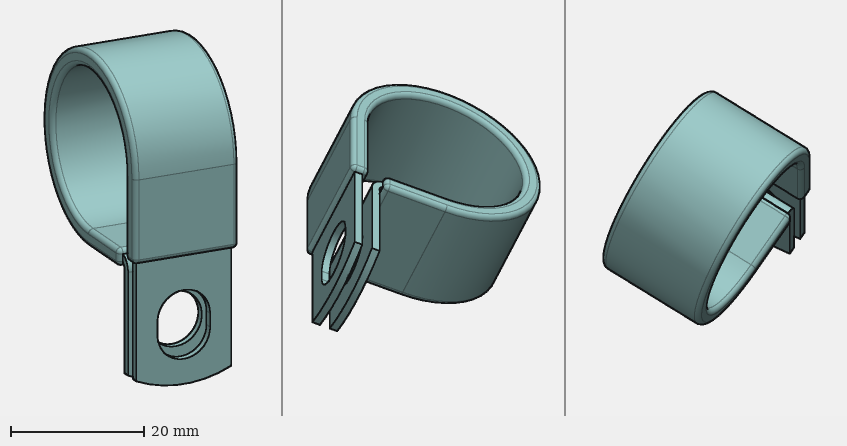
import cadquery as cq
import math

outer_radius = 15.5
cushion_wall = 0.8
strap_thickness = 1.25
strap_width = 15.85
total_height = 49.55

side_arm_end_z = -13.55
bottom_arm_end_x = 10.1
bottom_tab_outer_x = 11.9
bend_outer_radius = 2.4

hole_diameter = 8.75
side_slot_length = 10.95
hole_z = -24.55
tip_sagitta = 1.7

cushion_width = strap_width + 2 * cushion_wall
inner_radius = outer_radius - strap_thickness - 2 * cushion_wall
strap_outer_radius = outer_radius - cushion_wall
strap_inner_radius = strap_outer_radius - strap_thickness
tab_tip_z = outer_radius - total_height
bend_inner_radius = bend_outer_radius - strap_thickness
bottom_tab_inner_x = bottom_tab_outer_x - strap_thickness
bend_x = bottom_tab_outer_x - bend_outer_radius
bend_z = -strap_inner_radius - bend_outer_radius
diagonal = math.sqrt(0.5)


def extrude_across(profile, width):
    """Extrude an XZ profile along Y, centred on the loop."""
    return profile.extrude(width / 2, both=True)


def make_cushion():
    """Three-quarter loop with two straight arms and all outer edges rounded."""
    profile = (
        cq.Workplane("XZ")
        .moveTo(outer_radius, side_arm_end_z)
        .lineTo(outer_radius, 0)
        .threePointArc((-outer_radius * diagonal, outer_radius * diagonal), (0, -outer_radius))
        .lineTo(bottom_arm_end_x, -outer_radius)
        .lineTo(bottom_arm_end_x, -inner_radius)
        .lineTo(0, -inner_radius)
        .threePointArc((-inner_radius * diagonal, inner_radius * diagonal), (inner_radius, 0))
        .lineTo(inner_radius, side_arm_end_z)
        .close()
    )
    cushion = extrude_across(profile, cushion_width)
    end_edges = cushion.faces(cq.selectors.BoxSelector(
        (bottom_arm_end_x - cushion_wall, -cushion_width, -outer_radius - cushion_wall),
        (outer_radius + cushion_wall, cushion_width, side_arm_end_z + cushion_wall),
    )).edges()
    side_edges = cushion.faces("<Y or >Y").edges()
    return cushion.newObject(end_edges.vals() + side_edges.vals()).fillet(cushion_wall)


def make_side_tab():
    """Straight strap continuing down from the side arm."""
    profile = (
        cq.Workplane("XZ")
        .moveTo(strap_inner_radius, 0)
        .lineTo(strap_outer_radius, 0)
        .lineTo(strap_outer_radius, tab_tip_z)
        .lineTo(strap_inner_radius, tab_tip_z)
        .close()
    )
    return extrude_across(profile, strap_width)


def make_bottom_tab():
    """Strap leaving the bottom arm and bending down beside the side tab."""
    outer_mid = (bend_x + bend_outer_radius * diagonal, bend_z + bend_outer_radius * diagonal)
    inner_mid = (bend_x + bend_inner_radius * diagonal, bend_z + bend_inner_radius * diagonal)
    profile = (
        cq.Workplane("XZ")
        .moveTo(0, -strap_inner_radius)
        .lineTo(bend_x, -strap_inner_radius)
        .threePointArc(outer_mid, (bottom_tab_outer_x, bend_z))
        .lineTo(bottom_tab_outer_x, tab_tip_z)
        .lineTo(bottom_tab_inner_x, tab_tip_z)
        .lineTo(bottom_tab_inner_x, bend_z)
        .threePointArc(inner_mid, (bend_x, -strap_outer_radius))
        .lineTo(0, -strap_outer_radius)
        .close()
    )
    return extrude_across(profile, strap_width)


def make_tab_outline():
    """Round-tipped outline shared by both tabs, extruded along X."""
    half_width = strap_width / 2
    shoulder_z = tab_tip_z + tip_sagitta
    return (
        cq.Workplane("YZ")
        .moveTo(-half_width, 0)
        .lineTo(-half_width, shoulder_z)
        .threePointArc((0, tab_tip_z), (half_width, shoulder_z))
        .lineTo(half_width, 0)
        .close()
        .extrude(outer_radius)
    )


def make_side_slot():
    """Vertical bolt slot cutter for the side tab."""
    slot = cq.Workplane("YZ").center(0, hole_z).slot2D(side_slot_length, hole_diameter, 90)
    return slot.extrude(outer_radius)


def make_bottom_hole():
    """Round bolt hole cutter for the bent bottom tab."""
    return cq.Workplane("YZ").center(0, hole_z).circle(hole_diameter / 2).extrude(outer_radius)


tab_outline = make_tab_outline()
bottom_tab = make_bottom_tab().intersect(tab_outline).cut(make_bottom_hole())
side_tab = make_side_tab().intersect(tab_outline).cut(make_side_slot())
result = make_cushion().union(bottom_tab).union(side_tab)